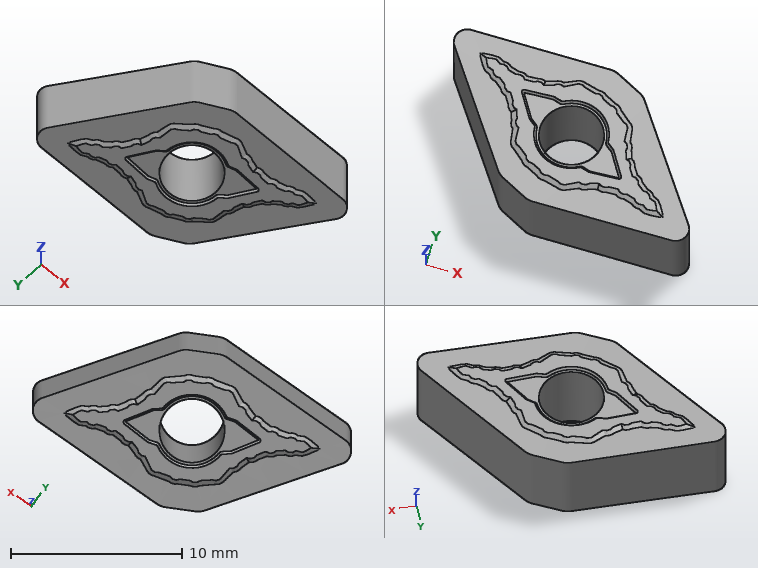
import cadquery as cq
import math

inscribed_diameter = 9.525
nose_angle = 55.0
nose_radius = 0.8
blunt_corner_radius = 1.2
overall_thickness = 4.86
middle_thickness = 4.56
nose_thickness = 4.68
island_root = 0.01
hole_diameter = 3.81

pocket_depth = 0.13
pocket_wall_run = 0.13
pocket_ring_radius = 2.20
pocket_ring_end_angle = 30.5
pocket_knee = (2.45, 1.015)
pocket_tip = (4.18, 0.0)
pocket_ring_blend = 0.15
pocket_knee_blend = 0.30
pocket_tip_radius = 0.14
corner_pick_margin = 0.2

crests = [
    (0.65, 3.28, 82.0),
    (2.04, 2.92, 63.0),
    (2.98, 2.00, 53.0),
    (3.83, 1.35, 66.0),
    (4.82, 0.91, 78.0),
    (5.90, 0.72, 84.0),
]
foot_flank = (0.26, 0.02)
foot_flat = (0.10, -0.03)
top_flank = (0.31, 0.39)
top_flat = (0.12, 0.28)
foot_nose = [(6.58, 0.67), (6.98, 0.50), (7.62, 0.14), (7.76, 0.0)]
top_nose = [(6.55, 0.34), (6.75, 0.22), (6.98, 0.04), (7.03, 0.0)]

inscribed_radius = inscribed_diameter / 2
half_nose_angle = nose_angle / 2
sharp_nose_reach = inscribed_radius / math.sin(math.radians(half_nose_angle))
nose_reach = sharp_nose_reach * (1 - nose_radius / inscribed_radius) + nose_radius
island_base = middle_thickness / 2 - island_root


def body():
    """Rhombus with its blunt corners cut off, all six sides touching the inscribed circle."""
    flat_half_width = inscribed_radius * math.tan(math.radians(half_nose_angle / 2))
    outline = [
        (sharp_nose_reach, 0),
        (flat_half_width, inscribed_radius),
        (-flat_half_width, inscribed_radius),
        (-sharp_nose_reach, 0),
        (-flat_half_width, -inscribed_radius),
        (flat_half_width, -inscribed_radius),
    ]
    prism = (
        cq.Workplane("XY")
        .polyline(outline)
        .close()
        .extrude(overall_thickness / 2, both=True)
    )
    prism = prism.edges("|Z and (<X or >X)").fillet(nose_radius)
    blunt_corners = cq.selectors.BoxSelector(
        (-2 * flat_half_width, -2 * inscribed_radius, -overall_thickness),
        (2 * flat_half_width, 2 * inscribed_radius, overall_thickness),
    )
    prism = prism.edges("|Z").edges(blunt_corners).fillet(blunt_corner_radius)
    return prism.intersect(hollow_profile())


def hollow_profile():
    """Lengthwise profile of the body, with a shallow arc for each face."""
    middle_half = middle_thickness / 2
    nose_half = nose_thickness / 2
    return (
        cq.Workplane("XZ")
        .moveTo(-nose_reach, -nose_half)
        .threePointArc((0, -middle_half), (nose_reach, -nose_half))
        .lineTo(nose_reach, nose_half)
        .threePointArc((0, middle_half), (-nose_reach, nose_half))
        .close()
        .extrude(inscribed_diameter, both=True)
    )


def crest_points(crest, flank, flat):
    """Four points of one crest, ordered towards the nose."""
    u, v, angle = crest
    normal_u = math.cos(math.radians(angle))
    normal_v = math.sin(math.radians(angle))
    points = []
    for side, (along, inset) in [(-1, flank), (-1, flat), (1, flat), (1, flank)]:
        points.append(
            (
                u + side * along * normal_v - inset * normal_u,
                v - side * along * normal_u - inset * normal_v,
            )
        )
    return points


def island_outline(flank, flat, nose):
    """Closed outline mirrored from one quarter about both diagonals."""
    quarter = []
    for crest in crests:
        quarter += crest_points(crest, flank, flat)
    quarter += nose
    upper = [(-u, v) for u, v in reversed(quarter)] + quarter
    lower = [(u, -v) for u, v in reversed(upper[1:-1])]
    return upper + lower


def island():
    """Raised island with scalloped sloping walls, standing on the upper face."""
    return (
        cq.Workplane("XY")
        .workplane(offset=island_base)
        .polyline(island_outline(foot_flank, foot_flat, foot_nose))
        .close()
        .workplane(offset=overall_thickness / 2 - island_base)
        .polyline(island_outline(top_flank, top_flat, top_nose))
        .close()
        .loft(ruled=True)
    )


def pocket():
    """Sloping-walled recess in the island: a ring round the hole with two pointed ends."""
    ring_end_angle = math.radians(pocket_ring_end_angle)
    ring_u = pocket_ring_radius * math.cos(ring_end_angle)
    ring_v = pocket_ring_radius * math.sin(ring_end_angle)
    knee_u, knee_v = pocket_knee
    tip_u, tip_v = pocket_tip
    prism = (
        cq.Workplane("XY")
        .moveTo(-ring_u, ring_v)
        .threePointArc((0, pocket_ring_radius), (ring_u, ring_v))
        .lineTo(knee_u, knee_v)
        .lineTo(tip_u, tip_v)
        .lineTo(knee_u, -knee_v)
        .lineTo(ring_u, -ring_v)
        .threePointArc((0, -pocket_ring_radius), (-ring_u, -ring_v))
        .lineTo(-knee_u, -knee_v)
        .lineTo(-tip_u, -tip_v)
        .lineTo(-knee_u, knee_v)
        .close()
        .extrude(pocket_depth)
    )
    for corner_u, corner_v, blend_radius in [
        (ring_u, ring_v, pocket_ring_blend),
        (knee_u, knee_v, pocket_knee_blend),
        (tip_u, tip_v, pocket_tip_radius),
    ]:
        for side in (-1, 1):
            corner_box = cq.selectors.BoxSelector(
                (side * corner_u - corner_pick_margin, -corner_v - corner_pick_margin, 0),
                (side * corner_u + corner_pick_margin, corner_v + corner_pick_margin, pocket_depth),
            )
            prism = prism.edges("|Z").edges(corner_box).fillet(blend_radius)
    rim = prism.faces(">Z").wires().val()
    wall_angle = math.degrees(math.atan2(pocket_wall_run, pocket_depth))
    recess = cq.Workplane("XY").add(rim).toPending().extrude(-pocket_depth, taper=wall_angle)
    return recess.translate((0, 0, overall_thickness / 2 - pocket_depth))


def hole():
    cylinder = cq.Workplane("XY").circle(hole_diameter / 2).extrude(overall_thickness)
    return cylinder.translate((0, 0, -overall_thickness / 2))


upper_island = island()
upper_pocket = pocket()
insert = body().union(upper_island).union(upper_island.mirror("XY"))
insert = insert.cut(upper_pocket).cut(upper_pocket.mirror("XY")).cut(hole())

result = insert.rotate((0, 0, 0), (0, 0, 1), -half_nose_angle)